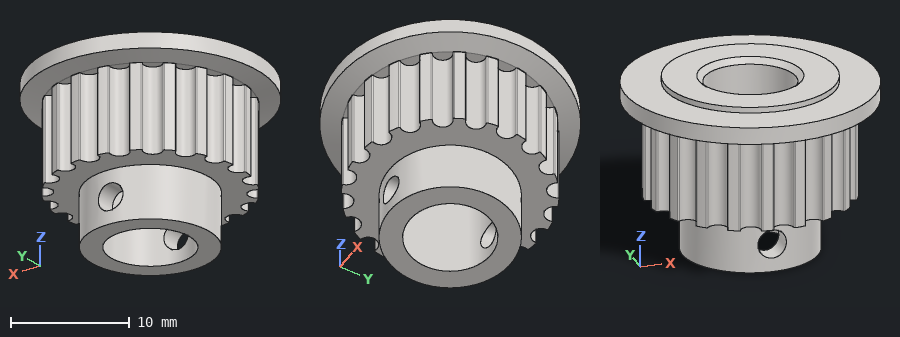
import cadquery as cq
import math

flange_diameter = 22.0
flange_thickness = 1.5
flange_cone_height = 0.5
flange_cone_root_diameter = 18.25
face_diameter = 15.0
face_height = 0.5

hub_diameter = 12.0
hub_length = 5.0
teeth_length = 8.0
bore_diameter = 8.0
bore_chamfer = 0.5
pin_hole_diameter = 2.5

tooth_count = 20
tip_diameter = 18.35
groove_radius = 0.88
groove_center_radius = 9.02

teeth_top = hub_length + teeth_length
flange_bottom = teeth_top + flange_cone_height
flange_top = flange_bottom + flange_thickness
total_height = flange_top + face_height


def disc(diameter, bottom, top):
    return cq.Workplane("XY").workplane(offset=bottom).circle(diameter / 2).extrude(top - bottom)


def make_flange():
    """Rim whose underside tapers in to the tips of the teeth."""
    rim_radius = flange_diameter / 2
    profile = [
        (0, teeth_top),
        (flange_cone_root_diameter / 2, teeth_top),
        (rim_radius, flange_bottom),
        (rim_radius, flange_top),
        (0, flange_top),
    ]
    return cq.Workplane("XZ").polyline(profile).close().revolve(360, (0, 0), (0, 1))


def make_grooves():
    """One cutter for every gap between neighbouring teeth."""
    tip_radius = tip_diameter / 2
    rounding_radius = (tip_radius**2 - groove_center_radius**2 - groove_radius**2) / (
        2 * (tip_radius + groove_radius)
    )
    rounding_center_y = groove_radius + rounding_radius
    tip_angle = math.atan2(rounding_center_y, groove_center_radius)
    tip_x = tip_radius * math.cos(tip_angle)
    tip_y = tip_radius * math.sin(tip_angle)
    middle_angle = (tip_angle - math.pi / 2) / 2
    middle_x = groove_center_radius + rounding_radius * math.cos(middle_angle)
    middle_y = rounding_center_y + rounding_radius * math.sin(middle_angle)
    groove_bottom = groove_center_radius - groove_radius
    outside = flange_diameter / 2
    groove = (
        cq.Workplane("XY")
        .workplane(offset=hub_length)
        .moveTo(outside, -tip_y)
        .lineTo(tip_x, -tip_y)
        .threePointArc((middle_x, -middle_y), (groove_center_radius, -groove_radius))
        .threePointArc((groove_bottom, 0), (groove_center_radius, groove_radius))
        .threePointArc((middle_x, middle_y), (tip_x, tip_y))
        .lineTo(outside, tip_y)
        .close()
        .extrude(teeth_length)
    )
    cutter = cq.Workplane("XY")
    for index in range(tooth_count):
        angle = index * 360 / tooth_count
        cutter = cutter.add(groove.rotate((0, 0, 0), (0, 0, 1), angle))
    return cutter.combine()


def make_bore():
    """Through bore with a 45 degree chamfer at the flange end."""
    bore_radius = bore_diameter / 2
    profile = [
        (0, 0),
        (bore_radius, 0),
        (bore_radius, total_height - bore_chamfer),
        (bore_radius + bore_chamfer, total_height),
        (0, total_height),
    ]
    return cq.Workplane("XZ").polyline(profile).close().revolve(360, (0, 0), (0, 1))


def make_pin_hole():
    """Cross hole right through the hub along Y, halfway up its length."""
    return (
        cq.Workplane("XZ")
        .center(0, hub_length / 2)
        .circle(pin_hole_diameter / 2)
        .extrude(hub_diameter, both=True)
    )


toothed_body = disc(tip_diameter, hub_length, teeth_top).cut(make_grooves())
hub = disc(hub_diameter, 0, hub_length)
raised_face = disc(face_diameter, flange_top, total_height)

result = hub.union(toothed_body).union(make_flange()).union(raised_face)
result = result.cut(make_bore()).cut(make_pin_hole())